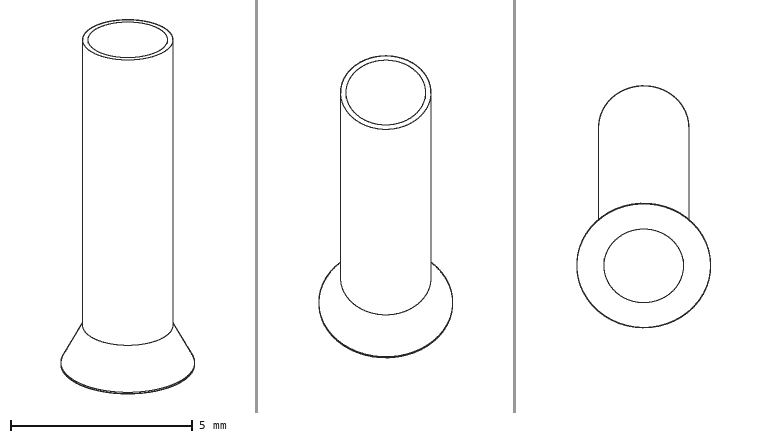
import cadquery as cq

total_height = 10.0
tube_diameter = 2.5
bore_diameter = 2.2
head_diameter = 3.7
head_height = 1.2
rim_height = 0.05

tube_radius = tube_diameter / 2
bore_radius = bore_diameter / 2
head_radius = head_diameter / 2

wall_section = (
    cq.Workplane("XZ")
    .moveTo(bore_radius, 0)
    .lineTo(head_radius, 0)
    .lineTo(head_radius, rim_height)
    .lineTo(tube_radius, head_height)
    .lineTo(tube_radius, total_height)
    .lineTo(bore_radius, total_height)
    .close()
)

result = wall_section.revolve(360, (0, 0, 0), (0, 1, 0))